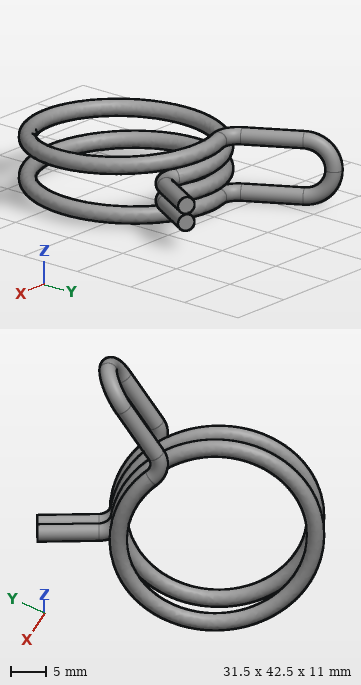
import cadquery as cq
import math

wire_diameter = 2.5
coil_radius = 14.0
loop_reach = 30.0
tail_reach = 25.5
loop_angle = 120.0
tail_angle = 60.0
corner_radius = 3.0
overall_height = 11.0
tail_gap = 0.1

wire_radius = wire_diameter / 2
leg_height = overall_height / 2 - wire_radius
tail_height = wire_radius + tail_gap / 2
loop_bend_radius = leg_height
leg_end = loop_reach - loop_bend_radius

corner_centre_distance = coil_radius + corner_radius
corner_sweep = math.degrees(math.asin(corner_radius / corner_centre_distance))
corner_turn = 90 - corner_sweep
arm_start = math.sqrt(corner_centre_distance**2 - corner_radius**2)

coil_start_angle = tail_angle + corner_sweep
coil_end_angle = loop_angle - corner_sweep
coil_turn = 360 + coil_end_angle - coil_start_angle
coil_rise = leg_height - tail_height
coil_pitch = coil_rise * 360 / coil_turn


def place(solid, angle, height):
    """Turn a solid built along +X to the given direction and lift it."""
    return solid.rotate((0, 0, 0), (0, 0, 1), angle).translate((0, 0, height))


def straight_arm(end):
    """Radial wire along +X, from the corner bend out to the given reach."""
    return cq.Workplane("YZ", origin=(arm_start, 0, 0)).circle(wire_radius).extrude(end - arm_start)


def corner_bend(side):
    """Bend joining an arm along +X to the coil on its +Y (side = 1) or -Y (side = -1) side."""
    return (
        cq.Workplane("YZ", origin=(arm_start, 0, 0))
        .circle(wire_radius)
        .revolve(corner_turn, (side * corner_radius, 0, 0), (side * corner_radius, -side, 0))
    )


def coil():
    """Rising helical turn of wire, starting on the +X axis at Z = 0."""
    path = cq.Wire.makeHelix(coil_pitch, coil_rise, coil_radius)
    return cq.Workplane("XZ").center(coil_radius, 0).circle(wire_radius).sweep(path, isFrenet=True)


def closed_loop_bend():
    """U-bend joining the two legs along +X, made of two quarter bends meeting on the mid-plane."""
    upper_quarter = (
        cq.Workplane("YZ", origin=(leg_end, 0, leg_height))
        .circle(wire_radius)
        .revolve(90, (0, -loop_bend_radius, 0), (1, -loop_bend_radius, 0))
    )
    lower_quarter = upper_quarter.rotate((0, 0, 0), (1, 0, 0), 180)
    return upper_quarter.union(lower_quarter)


def upper_half():
    """Wire from the upper tail, round the upper coil, to the end of the upper loop leg."""
    half = place(straight_arm(tail_reach), tail_angle, tail_height)
    half = half.union(place(corner_bend(1), tail_angle, tail_height))
    half = half.union(place(coil(), coil_start_angle, tail_height))
    half = half.union(place(corner_bend(-1), loop_angle, leg_height))
    return half.union(place(straight_arm(leg_end), loop_angle, leg_height))


upper = upper_half()
lower = upper.mirror("XY")
result = upper.union(place(closed_loop_bend(), loop_angle, 0)).union(lower)